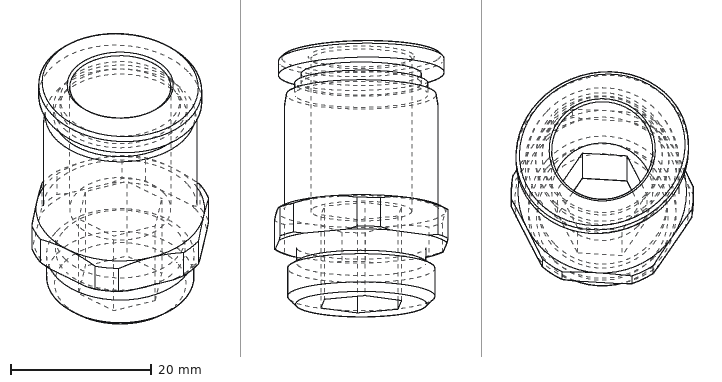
import cadquery as cq
import math

total_height = 36.0
end_chamfer = 1.15
thread_top = 5.25
groove_bottom = 6.0
nut_bottom = 8.45
nut_top = 13.55
body_taper_bottom = 29.0
body_top = 30.5
step_top = 32.1
collar_bottom = 33.48

thread_radius = 10.5
groove_radius = 9.2
body_radius = 10.95
body_top_radius = 10.7
step_radius = 9.5
neck_radius = 8.55
shoulder_fillet = 0.4

nut_across_flats = 24.0
nut_corner_radius = 13.0
nut_top_face_radius = nut_across_flats / 2
nut_bottom_face_radius = 12.45
nut_chamfer_angle = 30.0

collar_half_x = 12.5
collar_half_y = 11.5
collar_chamfer = 0.5

bore_radius = 7.2
bore_chamfer = 0.35
bore_floor = nut_top
socket_across_flats = 11.0


def hexagon_prism(across_flats, bottom, top):
    """Hexagonal prism on the Z axis with two corners on the Y axis."""
    across_corners = across_flats / math.cos(math.radians(30))
    return (
        cq.Workplane("XY", origin=(0, 0, bottom))
        .transformed(rotate=(0, 0, 90))
        .polygon(6, across_corners)
        .extrude(top - bottom)
    )


def revolved(points):
    """Solid of revolution about Z from a closed (radius, height) outline."""
    return cq.Workplane("XZ").polyline(points).close().revolve(360, (0, 0, 0), (0, 1, 0))


def make_core():
    """Turned core running from the threaded end to the collar."""
    return (
        cq.Workplane("XZ")
        .lineTo(thread_radius - end_chamfer, 0)
        .lineTo(thread_radius, end_chamfer)
        .lineTo(thread_radius, thread_top)
        .lineTo(groove_radius, groove_bottom)
        .lineTo(groove_radius, nut_bottom - shoulder_fillet)
        .radiusArc((groove_radius + shoulder_fillet, nut_bottom), shoulder_fillet)
        .lineTo(body_radius + shoulder_fillet, nut_bottom)
        .lineTo(body_radius + shoulder_fillet, nut_top)
        .radiusArc((body_radius, nut_top + shoulder_fillet), shoulder_fillet)
        .lineTo(body_radius, body_taper_bottom)
        .lineTo(body_top_radius, body_top)
        .lineTo(step_radius, body_top)
        .lineTo(step_radius, step_top)
        .lineTo(neck_radius, step_top)
        .lineTo(neck_radius, collar_bottom)
        .lineTo(0, collar_bottom)
        .close()
        .revolve(360, (0, 0, 0), (0, 1, 0))
    )


def make_nut():
    """Hexagon trimmed by a chamfered disc that rounds off its corners."""
    slope = math.tan(math.radians(nut_chamfer_angle))
    top_drop = (nut_corner_radius - nut_top_face_radius) * slope
    bottom_rise = (nut_corner_radius - nut_bottom_face_radius) * slope
    disc = revolved([
        (0, nut_bottom),
        (nut_bottom_face_radius, nut_bottom),
        (nut_corner_radius, nut_bottom + bottom_rise),
        (nut_corner_radius, nut_top - top_drop),
        (nut_top_face_radius, nut_top),
        (0, nut_top),
    ])
    return hexagon_prism(nut_across_flats, nut_bottom, nut_top).intersect(disc)


def make_collar():
    """Oval plate with a chamfered upper rim."""
    return (
        cq.Workplane("XY", origin=(0, 0, collar_bottom))
        .ellipse(collar_half_x, collar_half_y)
        .extrude(total_height - collar_bottom)
        .faces(">Z")
        .chamfer(collar_chamfer)
    )


def make_bore():
    """Blind round bore from the collar face, with a chamfered mouth."""
    return revolved([
        (0, bore_floor),
        (bore_radius, bore_floor),
        (bore_radius, total_height - bore_chamfer),
        (bore_radius + bore_chamfer, total_height),
        (0, total_height),
    ])


result = make_core().union(make_nut()).union(make_collar())
result = result.cut(make_bore()).cut(hexagon_prism(socket_across_flats, 0, bore_floor))